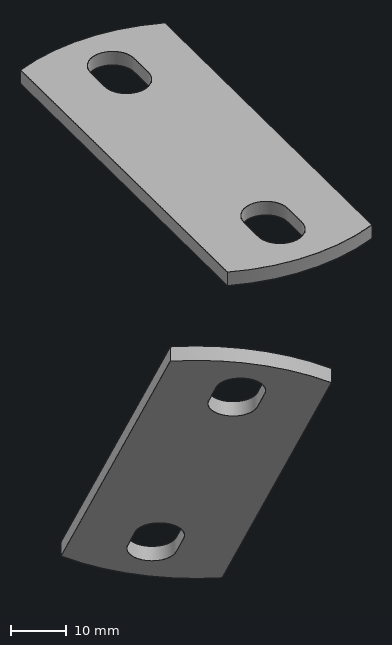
import cadquery as cq

end_diameter = 80.0
plate_width = 30.0
plate_thickness = 3.0

slot_length = 14.0
slot_width = 9.0
slot_spacing = 55.0


def make_plate():
    """Strip with straight long sides and ends rounded about the plate centre."""
    disc = cq.Workplane("XY").circle(end_diameter / 2).extrude(plate_thickness)
    strip = cq.Workplane("XY").rect(end_diameter, plate_width).extrude(plate_thickness)
    return disc.intersect(strip)


def cut_slots(plate):
    """Cut one through slot near each end."""
    return (
        plate.faces(">Z")
        .workplane(origin=(0, 0, plate_thickness))
        .pushPoints([(-slot_spacing / 2, 0), (slot_spacing / 2, 0)])
        .slot2D(slot_length, slot_width)
        .cutThruAll()
    )


result = cut_slots(make_plate())